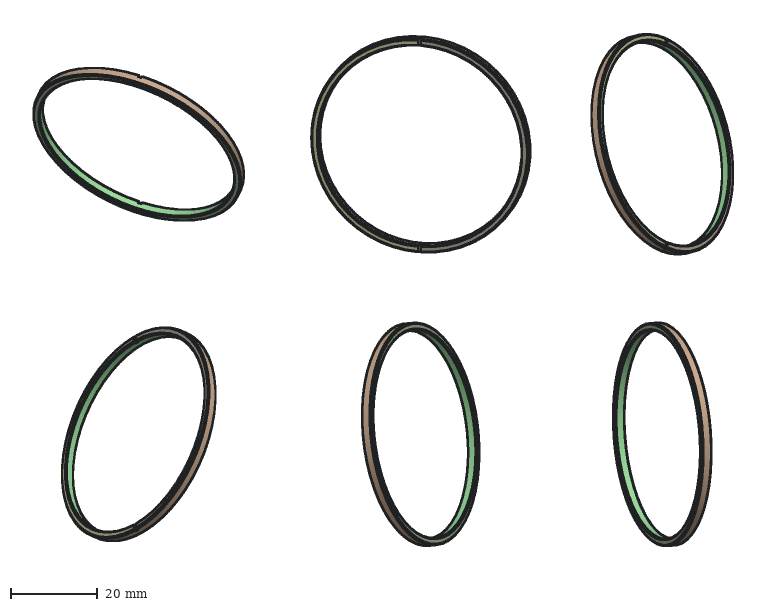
import cadquery as cq

outer_diameter = 51.7
inner_diameter = 48.3
ring_width = 2.5
edge_chamfer = 0.3
notch_width = 0.8
notch_depth = 0.6


def chamfered_ring():
    """Flat ring around the Y axis, centred on the origin, with all four rims chamfered."""
    ring = (
        cq.Workplane("XZ", origin=(0, ring_width / 2, 0))
        .circle(outer_diameter / 2)
        .circle(inner_diameter / 2)
        .extrude(ring_width)
    )
    return ring.faces("<Y or >Y").chamfer(edge_chamfer)


def rear_notch_cutter():
    """Bar along Z that notches the +Y face at both the top and the bottom of the ring."""
    notch_center_y = (ring_width - notch_depth) / 2
    return (
        cq.Workplane("XY")
        .box(notch_width, notch_depth, outer_diameter)
        .translate((0, notch_center_y, 0))
    )


result = chamfered_ring().cut(rear_notch_cutter())